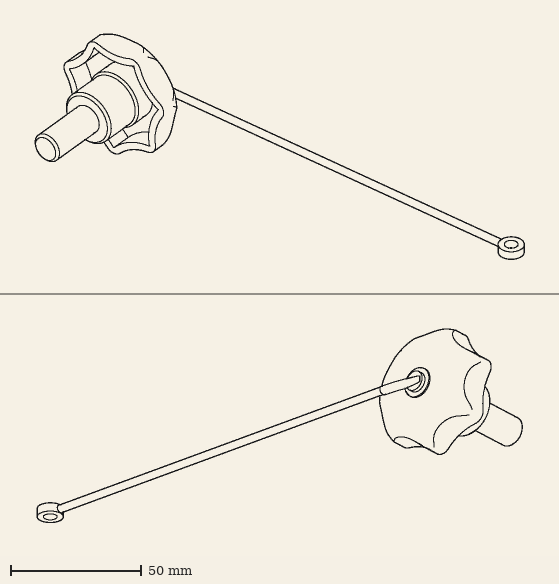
import cadquery as cq
import math


lobe_count = 7
lobe_pitch = 360 / lobe_count
lobe_center_radius = 20.8
lobe_round = 4.2
flute_radius = 21.5
knob_radius = lobe_center_radius + lobe_round
wall = 3.2
pocket_depth = 8.8
crown_height = 14.7
crown_edge_radius = 17.0
crown_edge_height = 12.8
shoulder_start = 5.0
shoulder_round = 8.2

hub_diameter = 22.0
hub_base_diameter = 24.0
hub_step = 0.6
hub_length = 16.5
hub_chamfer = 1.0
stud_diameter = 12.0
stud_end = 41.9
stud_chamfer = 1.0

seat_diameter = 12.0
seat_height = 15.2
pivot_diameter = 8.0
pivot_height = 16.8

strap_diameter = 3.2
strap_height = 18.0
sleeve_diameter = 3.5
sleeve_height = strap_height - (sleeve_diameter - strap_diameter) / 2
sleeve_start = -2.5
sleeve_end = 14.7
bend_radius = 65.2
eye_diameter = 10.0
eye_hole_diameter = 5.3
eye_thickness = 3.5
overall_length = 210.5

half_pitch = math.radians(lobe_pitch / 2)
flute_center_radius = lobe_center_radius * math.cos(half_pitch) + math.sqrt(
    (flute_radius + lobe_round) ** 2 - (lobe_center_radius * math.sin(half_pitch)) ** 2
)
knob_left = lobe_center_radius * math.cos(math.radians(2 * lobe_pitch - 90)) + lobe_round
eye_x = overall_length - knob_left - eye_diameter / 2


def polar(radius, degrees):
    angle = math.radians(degrees)
    return radius * math.cos(angle), radius * math.sin(angle)


def cylinder(diameter, y_start, y_end):
    plane = cq.Workplane("XZ", origin=(0, y_end, 0))
    return plane.circle(diameter / 2).extrude(y_end - y_start)


def star_prism(y_end, inset=0.0):
    """Star from Y = 0 to y_end; an inset star keeps only the flutes, which meet in sharp points."""
    radius = flute_radius + inset
    flute_bottom = flute_center_radius - radius
    sharp = inset > 0
    if sharp:
        side = flute_center_radius * math.sin(half_pitch)
        point_radius = flute_center_radius * math.cos(half_pitch) - math.sqrt(radius**2 - side**2)
        offset = 0
    else:
        share = lobe_round / (flute_radius + lobe_round)
        flute_x, flute_y = polar(flute_center_radius, lobe_pitch / 2)
        tangent_x = lobe_center_radius + share * (flute_x - lobe_center_radius)
        tangent_y = share * flute_y
        point_radius = math.hypot(tangent_x, tangent_y)
        offset = math.degrees(math.atan2(tangent_y, tangent_x))
    outline = cq.Workplane("XZ", origin=(0, y_end, 0)).moveTo(*polar(point_radius, -90 - offset))
    for index in range(lobe_count):
        direction = -90 + index * lobe_pitch
        if not sharp:
            tip = polar(knob_radius, direction)
            outline = outline.threePointArc(tip, polar(point_radius, direction + offset))
        flute = polar(flute_bottom, direction + lobe_pitch / 2)
        outline = outline.threePointArc(flute, polar(point_radius, direction + lobe_pitch - offset))
    return outline.close().extrude(y_end)


def crown():
    """Turned envelope that rounds the back of the knob."""
    rise = crown_height - crown_edge_height
    dome_radius = (crown_edge_radius**2 + rise**2) / (2 * rise)
    mid_x = crown_edge_radius / 2
    mid_y = crown_height - dome_radius + math.sqrt(dome_radius**2 - mid_x**2)
    profile = (
        cq.Workplane("XY")
        .lineTo(knob_radius, 0)
        .lineTo(knob_radius, shoulder_start)
        .radiusArc((crown_edge_radius, crown_edge_height), -shoulder_round)
        .threePointArc((mid_x, mid_y), (0, crown_height))
        .close()
    )
    return profile.revolve(360, (0, 0, 0), (0, 1, 0))


def hub_and_stud():
    base = cylinder(hub_base_diameter, -hub_step, pocket_depth)
    base = base.faces("<Y").chamfer((hub_base_diameter - hub_diameter) / 2)
    hub = cylinder(hub_diameter, -hub_length, pocket_depth).faces("<Y").chamfer(hub_chamfer)
    stud = cylinder(stud_diameter, -stud_end, 0).faces("<Y").chamfer(stud_chamfer)
    return base.union(hub).union(stud)


def pivot():
    seat = cylinder(seat_diameter, crown_edge_height, seat_height)
    return seat.union(cylinder(pivot_diameter, crown_edge_height, pivot_height))


def strap():
    def bend_point(x):
        run = sleeve_end - x
        return x, sleeve_height - bend_radius + math.sqrt(bend_radius**2 - run**2)

    middle = bend_point((sleeve_start + sleeve_end) / 2)
    path = cq.Workplane("XY").moveTo(sleeve_end, sleeve_height)
    path = path.threePointArc(middle, bend_point(sleeve_start))
    section = cq.Workplane("YZ", origin=(sleeve_end, sleeve_height, 0))
    sleeve = section.circle(sleeve_diameter / 2).sweep(path)

    rod_start = cq.Workplane("YZ", origin=(sleeve_end, strap_height, 0))
    rod = rod_start.circle(strap_diameter / 2).extrude(eye_x - sleeve_end)
    eye_plane = cq.Workplane("XY", origin=(eye_x, strap_height, -eye_thickness / 2))
    eye = eye_plane.circle(eye_diameter / 2).extrude(eye_thickness)
    hole = eye_plane.circle(eye_hole_diameter / 2).extrude(eye_thickness)
    return sleeve.union(rod).union(eye).cut(hole)


knob = star_prism(crown_height).intersect(crown()).cut(star_prism(pocket_depth, wall))
result = knob.union(hub_and_stud()).union(pivot()).union(strap())